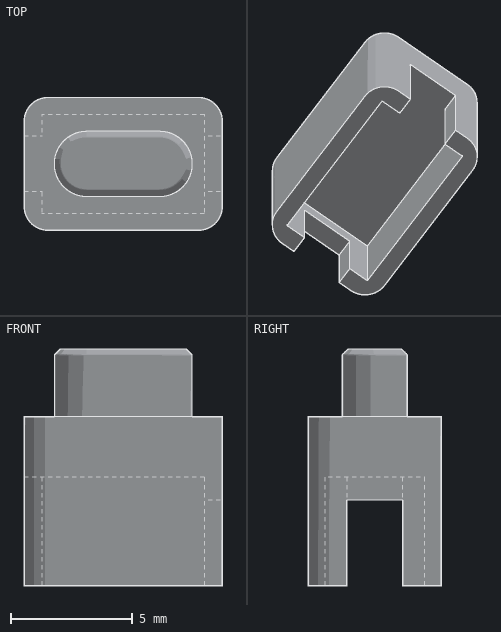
import cadquery as cq

body_length = 8.2
body_width = 5.5
body_height = 7.0
body_corner_radius = 1.0

total_height = 9.8
stem_height = total_height - body_height
stem_width = 2.7
stem_straight_length = 3.0
stem_length = stem_straight_length + stem_width
stem_chamfer = 0.25
stem_edge_radius = 0.1

end_wall_thickness = 0.75
side_wall_thickness = 0.7
cavity_length = body_length - 2 * end_wall_thickness
cavity_width = body_width - 2 * side_wall_thickness
cavity_height = 4.5
slot_width = 2.3
tall_slot_height = cavity_height
short_slot_height = 3.55


def make_body():
    block = cq.Workplane("XY").rect(body_length, body_width).extrude(body_height)
    return block.edges("|Z").fillet(body_corner_radius)


def rim_at(height):
    """Select the stem edges lying within half a chamfer of the given height."""
    return cq.selectors.BoxSelector(
        (-stem_length, -stem_width, height - stem_chamfer / 2),
        (stem_length, stem_width, height + stem_chamfer / 2),
    )


def make_stem():
    post = cq.Workplane("XY").slot2D(stem_length, stem_width).extrude(stem_height)
    post = post.faces(">Z").chamfer(stem_chamfer)
    upper_rim = rim_at(stem_height)
    lower_rim = rim_at(stem_height - stem_chamfer)
    post = post.edges(upper_rim + lower_rim).edges("#Z").fillet(stem_edge_radius)
    return post.translate((0, 0, body_height))


def make_cavity():
    return cq.Workplane("XY").rect(cavity_length, cavity_width).extrude(cavity_height)


def make_end_slot(side, height):
    """Slot through one end wall; side is -1 for the -X end and +1 for the +X end."""
    wall_center_x = side * (body_length - end_wall_thickness) / 2
    slot = cq.Workplane("XY").rect(end_wall_thickness, slot_width).extrude(height)
    return slot.translate((wall_center_x, 0, 0))


result = (
    make_body()
    .union(make_stem())
    .cut(make_cavity())
    .cut(make_end_slot(-1, tall_slot_height))
    .cut(make_end_slot(1, short_slot_height))
)